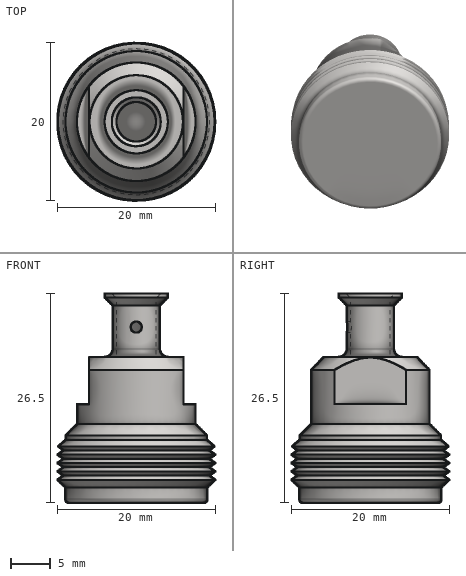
import cadquery as cq

total_height = 26.5
shoulder_base_height = 10.0
flat_ledge_height = 12.5
body_top_height = 18.5

skirt_radius = 9.0
skirt_height = 2.0
skirt_edge_radius = 0.5

thread_radius = 10.0
thread_root_radius = 9.25
thread_pitch = 25.4 / 24
ring_count = 5
first_crest_height = 2.95
last_crest_radius = 9.9

neck_radius = 8.95
neck_start_height = 8.0

body_radius = 7.5
body_top_radius = 5.9
body_chamfer_height = 1.65
flat_spacing = 12.0

tube_radius = 3.0
tube_foot_radius = 1.0
rim_radius = 4.0
rim_thickness = 0.5

bore_radius = 2.5
bore_mouth_radius = 3.1
vent_diameter = 1.4
vent_height = 22.25

neck_end_height = shoulder_base_height - (neck_radius - body_radius)
rim_base_height = total_height - rim_thickness
flare_height = rim_radius - tube_radius
bore_depth = total_height - body_top_height
bore_mouth_depth = bore_mouth_radius - bore_radius


def thread_points():
    """Crest and root points of the thread rings, from bottom to top."""
    points = []
    for ring in range(ring_count - 1):
        crest_height = first_crest_height + ring * thread_pitch
        points.append((thread_radius, crest_height))
        points.append((thread_root_radius, crest_height + thread_pitch / 2))
    last_crest_height = first_crest_height + (ring_count - 1) * thread_pitch
    points.append((last_crest_radius, last_crest_height))
    return points


def revolve_about_z(profile):
    return profile.close().revolve(360, (0, 0, 0), (0, 1, 0))


def turned_body():
    """Solid of revolution that carries every outer turned surface."""
    profile = cq.Workplane("XZ").lineTo(skirt_radius - skirt_edge_radius, 0)
    profile = profile.radiusArc((skirt_radius, skirt_edge_radius), -skirt_edge_radius)
    profile = profile.lineTo(skirt_radius, skirt_height)
    for radius, height in thread_points():
        profile = profile.lineTo(radius, height)
    profile = (
        profile.lineTo(neck_radius, neck_start_height)
        .lineTo(neck_radius, neck_end_height)
        .lineTo(body_radius, shoulder_base_height)
        .lineTo(body_radius, body_top_height - body_chamfer_height)
        .lineTo(body_top_radius, body_top_height)
        .lineTo(tube_radius + tube_foot_radius, body_top_height)
        .radiusArc((tube_radius, body_top_height + tube_foot_radius), tube_foot_radius)
        .lineTo(tube_radius, rim_base_height - flare_height)
        .lineTo(rim_radius, rim_base_height)
        .lineTo(rim_radius, total_height)
        .lineTo(0, total_height)
    )
    return revolve_about_z(profile)


def wrench_flat_cutter(side):
    """Block outside one wrench flat; side is +1 or -1 along X."""
    depth = body_radius
    return cq.Workplane("XY").box(
        depth, 2 * body_radius, body_top_height - flat_ledge_height, centered=(True, True, False)
    ).translate((side * (flat_spacing + depth) / 2, 0, flat_ledge_height))


def bore_cutter():
    """Blind bore with a 45 degree chamfer at its mouth."""
    profile = (
        cq.Workplane("XZ")
        .moveTo(0, total_height - bore_depth)
        .lineTo(bore_radius, total_height - bore_depth)
        .lineTo(bore_radius, total_height - bore_mouth_depth)
        .lineTo(bore_mouth_radius, total_height)
        .lineTo(0, total_height)
    )
    return revolve_about_z(profile)


def vent_cutter():
    """Radial hole through the -Y wall of the tube into the bore."""
    return (
        cq.Workplane("XZ")
        .center(0, vent_height)
        .circle(vent_diameter / 2)
        .extrude(rim_radius)
    )


result = turned_body()
for side in (-1, 1):
    result = result.cut(wrench_flat_cutter(side))
result = result.cut(bore_cutter())
result = result.cut(vent_cutter())